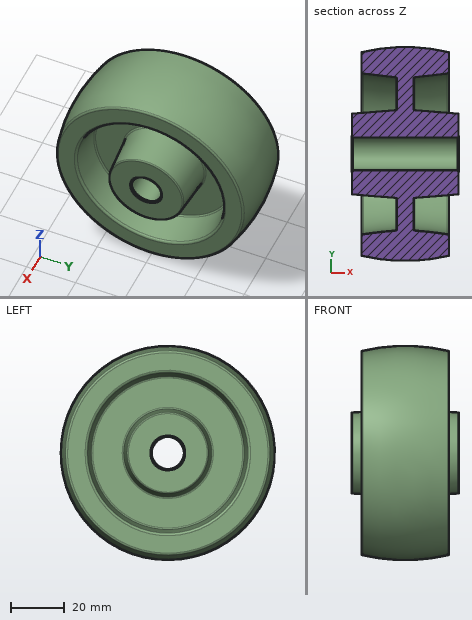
import cadquery as cq

wheel_radius = 40.0
hub_width = 40.0
tread_width = 32.8
shoulder_radius = 38.0
shoulder_fillet = 0.8

web_thickness = 6.4
rim_mouth_radius = 30.0
rim_floor_radius = 28.5
rim_mouth_fillet = 1.0
hub_tip_radius = 15.1
hub_root_radius = 16.5
recess_fillet = 0.6
hub_edge_fillet = 0.5

bore_radius = 6.0
bore_chamfer = 0.5

half_hub = hub_width / 2
half_tread = tread_width / 2
half_web = web_thickness / 2
hub_slope = (hub_root_radius - hub_tip_radius) / (half_hub - half_web)


def crowned_blank():
    """Solid disc whose tread is a shallow arc, with rounded shoulders."""
    profile = (
        cq.Workplane("XY")
        .moveTo(-half_tread, 0)
        .lineTo(-half_tread, shoulder_radius)
        .threePointArc((0, wheel_radius), (half_tread, shoulder_radius))
        .lineTo(half_tread, 0)
        .close()
    )
    disc = profile.revolve(360, (0, 0, 0), (1, 0, 0))
    return disc.faces("<X or >X").edges().fillet(shoulder_fillet)


def cone(start_x, start_radius, end_x, end_radius):
    """Solid frustum on the X axis."""
    profile = cq.Workplane("XY").polyline(
        [(start_x, 0), (start_x, start_radius), (end_x, end_radius), (end_x, 0)]
    )
    return profile.close().revolve(360, (0, 0, 0), (1, 0, 0))


def recess(side):
    """Tapered pocket down to the web; side is -1 or 1."""
    pocket = cone(side * half_web, rim_floor_radius, side * half_tread, rim_mouth_radius)
    floor = "<X" if side > 0 else ">X"
    return pocket.faces(floor).edges().fillet(recess_fillet)


def hub(side):
    """Tapered half hub with a rounded outer edge; side is -1 or 1."""
    boss = cone(0, hub_root_radius + hub_slope * half_web, side * half_hub, hub_tip_radius)
    tip = ">X" if side > 0 else "<X"
    return boss.faces(tip).edges().fillet(hub_edge_fillet)


wheel = crowned_blank()
for side in (-1, 1):
    wheel = wheel.cut(recess(side))
for side_face in ("<X", ">X"):
    mouth_edge = wheel.faces(side_face).edges(cq.selectors.RadiusNthSelector(0))
    wheel = mouth_edge.fillet(rim_mouth_fillet)
for side in (-1, 1):
    wheel = wheel.union(hub(side))

root_half_size = hub_root_radius + recess_fillet
root_edges = cq.selectors.BoxSelector(
    (-half_web - recess_fillet, -root_half_size, -root_half_size),
    (half_web + recess_fillet, root_half_size, root_half_size),
)
wheel = wheel.edges("%CIRCLE").edges(root_edges).fillet(recess_fillet)

bore = cq.Workplane("YZ").circle(bore_radius).extrude(half_hub, both=True)
wheel = wheel.cut(bore)
for side in (-1, 1):
    chamfer_start = side * half_hub
    chamfer_end = side * (half_hub - bore_chamfer)
    wheel = wheel.cut(cone(chamfer_start, bore_radius + bore_chamfer, chamfer_end, bore_radius))

result = wheel